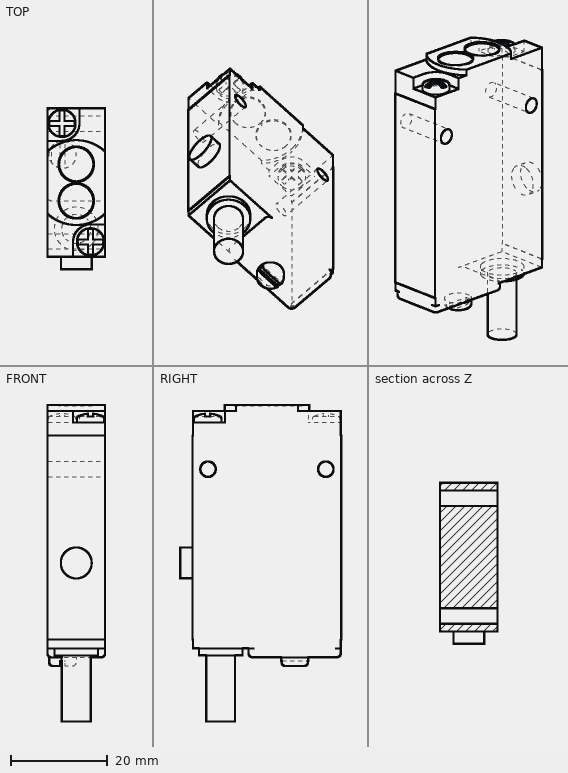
import cadquery as cq

body_width = 11.95
body_length = 30.5
body_bottom = 15.1
body_top = 64.15
overall_height = 65.4

pad_height = 0.1
pad_bottom = 16.95
pad_top = 59.1

button_radius = 3.2
button_reach = 17.9
button_z = 32.75

window_radius = 8.75
lens_rim_radius = 3.65
lens_floor_radius = 3.5
lens_y = 3.8
lens_depth = 0.25

pocket_depth = 2.4
pocket_radius = 3.6
top_screw_x = 2.95
top_screw_y = 12.2

head_radius = 2.8
top_head_height = 1.9
bottom_head_height = 1.8
top_head_wall = 1.2
top_head_fillet = 0.5
head_slot_width = 1.05
top_slot_depth = 0.65
bottom_slot_depth = 1.05
bottom_head_fillet = 0.85

hole_radius = 1.6
hole_y = 12.15
hole_z = 52.1

plate_thickness = 1.8
plate_length = 19.1
plate_corner = 1.05
plate_fillet = 0.85
bottom_screw_x = -2.8
bottom_screw_y = 5.75

cable_radius = 3.0
cable_y = -9.55
collar_radius = 4.5
collar_height = 1.45


def box(width, length, bottom, top):
    """Upright block centred on X and Y."""
    return cq.Workplane("XY", origin=(0, 0, bottom)).rect(width, length).extrude(top - bottom)


def cylinder(radius, x, y, bottom, top):
    """Upright cylinder between two heights."""
    return cq.Workplane("XY", origin=(x, y, bottom)).circle(radius).extrude(top - bottom)


def make_body():
    body = box(body_width, body_length, body_bottom, body_top)
    pads = box(body_width, body_length + 2 * pad_height, pad_bottom, pad_top)
    button = cq.Workplane("XZ", origin=(0, 0, button_z)).circle(button_radius).extrude(button_reach)
    return body.union(pads).union(button)


def corner_pocket():
    """Pocket at the (-X, +Y) corner: open to both sides, rounded around its screw."""
    floor = body_top - pocket_depth
    left = -body_width / 2
    back = body_length / 2
    right = pocket_radius - top_screw_x
    front = top_screw_y - pocket_radius
    return (
        cq.Workplane("XY", origin=(0, 0, floor))
        .moveTo(left, back)
        .lineTo(right, back)
        .lineTo(right, top_screw_y)
        .radiusArc((-top_screw_x, front), pocket_radius)
        .lineTo(left, front)
        .close()
        .extrude(pocket_depth)
    )


def domed_head():
    """Domed screw head with a cross slot, standing at the (-X, +Y) corner."""
    floor = body_top - pocket_depth
    dome_rise = top_head_height - top_head_wall
    dome_radius = (head_radius**2 + dome_rise**2) / (2 * dome_rise)
    dome = cq.Workplane("XY", origin=(0, 0, top_head_height - dome_radius)).sphere(dome_radius)
    head = cylinder(head_radius, 0, 0, 0, top_head_height).intersect(dome)
    rim = cq.NearestToPointSelector((0, 0, top_head_wall))
    head = head.edges(rim).fillet(top_head_fillet)
    slot_bottom = top_head_height - top_slot_depth
    for angle in (0, 90):
        slot = box(2 * head_radius, head_slot_width, slot_bottom, top_head_height)
        head = head.cut(slot.rotate((0, 0, 0), (0, 0, 1), angle))
    return head.translate((-top_screw_x, top_screw_y, floor))


def lens_recess(y):
    """Shallow round recess, slightly narrower at its floor than at its rim."""
    return (
        cq.Workplane("XY", origin=(0, y, overall_height - lens_depth))
        .circle(lens_floor_radius)
        .workplane(offset=lens_depth)
        .circle(lens_rim_radius)
        .loft()
    )


def make_window():
    """Trimmed lens window with its two recesses; it fills the pockets where it overlaps them."""
    window = cylinder(window_radius, 0, 0, body_top, overall_height)
    window = window.intersect(box(body_width, body_length, body_top, overall_height))
    for y in (-lens_y, lens_y):
        window = window.cut(lens_recess(y))
    return window


def make_plate():
    """Cover plate under the +Y part of the body, with a single-slot screw."""
    plate_bottom = body_bottom - plate_thickness
    plate_y = (body_length - plate_length) / 2
    plate = (
        box(body_width, plate_length, plate_bottom, body_bottom)
        .edges("|Z").fillet(plate_corner)
        .faces("<Z").edges().fillet(plate_fillet)
        .translate((0, plate_y, 0))
    )
    head_bottom = plate_bottom - bottom_head_height
    head = cylinder(head_radius, 0, 0, head_bottom, plate_bottom)
    head = head.faces("<Z").edges().fillet(bottom_head_fillet)
    head = head.cut(box(head_slot_width, 2 * head_radius, head_bottom, head_bottom + bottom_slot_depth))
    return plate.union(head.translate((bottom_screw_x, bottom_screw_y, 0)))


def make_cable():
    collar = cylinder(collar_radius, 0, cable_y, body_bottom - collar_height, body_bottom)
    return collar.union(cylinder(cable_radius, 0, cable_y, 0, body_bottom))


def mounting_hole(y):
    return (
        cq.Workplane("YZ", origin=(-body_width / 2, y, hole_z))
        .circle(hole_radius)
        .extrude(body_width)
    )


result = make_body()
for angle in (0, 180):
    result = result.cut(corner_pocket().rotate((0, 0, 0), (0, 0, 1), angle))
    result = result.union(domed_head().rotate((0, 0, 0), (0, 0, 1), angle))
result = result.union(make_window()).union(make_plate()).union(make_cable())
for y in (-hole_y, hole_y):
    result = result.cut(mounting_hole(y))